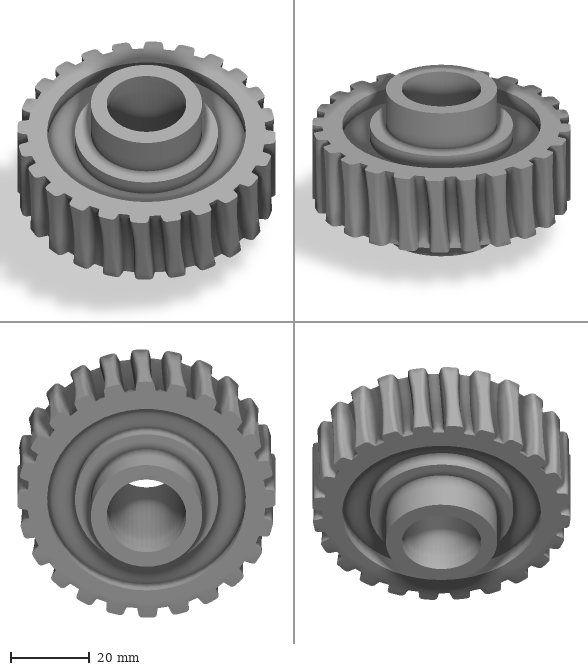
import cadquery as cq
import math

tip_diameter = 65.74
overall_height = 40.44
face_width = overall_height / 2
bore_diameter = 20.22
hub_diameter = 28.3

recess_inner_diameter = 36.4
recess_outer_diameter = 50.55
recess_depth = 4.0

tooth_count = 24
root_depth = 4.55
throat_radius = 27.0
gap_floor_width = 2.7
flank_angle = 18.0
lead_angle = 3.75
tip_fillet = 1.0
cutter_overrun = 3.0

tip_radius = tip_diameter / 2
worm_center_distance = tip_radius - root_depth + throat_radius


def make_blank():
    """Toothless wheel disc with its hub running through."""
    disc = cq.Workplane("XY").cylinder(face_width, tip_radius)
    hub = cq.Workplane("XY").cylinder(overall_height, hub_diameter / 2)
    return disc.union(hub)


def make_gap_cutter():
    """Ring of trapezoidal section around the worm axis, cutting the gap on the +X side."""
    profile_height = root_depth + cutter_overrun
    floor_x = tip_radius - root_depth
    floor_half = gap_floor_width / 2
    outer_half = floor_half + profile_height * math.tan(math.radians(flank_angle))
    ring = (
        cq.Workplane("XY")
        .polyline([
            (floor_x, -floor_half),
            (floor_x, floor_half),
            (floor_x + profile_height, outer_half),
            (floor_x + profile_height, -outer_half),
        ])
        .close()
        .revolve(360, (worm_center_distance, 0), (worm_center_distance, 1))
    )
    return ring.rotate((0, 0, 0), (1, 0, 0), lead_angle)


class TipFlankEdges(cq.Selector):
    """Selects the edges on the tip cylinder that run from one wheel face to the other."""

    def filter(self, edges):
        return [edge for edge in edges if self.is_tip_flank_edge(edge)]

    def is_tip_flank_edge(self, edge):
        tolerance = 0.01
        point = edge.positionAt(0.5)
        on_tip = abs(math.hypot(point.x, point.y) - tip_radius) < tolerance
        on_face = abs(abs(point.z) - face_width / 2) < tolerance
        return on_tip and not on_face


def cut_teeth(body):
    """Cut the gaps around the rim and round the long edges of the tooth tips."""
    cutter = make_gap_cutter()
    for index in range(tooth_count):
        angle = index * 360 / tooth_count
        body = body.cut(cutter.rotate((0, 0, 0), (0, 0, 1), angle))
    return body.edges(TipFlankEdges()).fillet(tip_fillet)


def cut_recesses(body):
    """Sink a ring-shaped recess into both wheel faces."""
    ring = (
        cq.Workplane("XY")
        .workplane(offset=face_width / 2 - recess_depth)
        .circle(recess_outer_diameter / 2)
        .circle(recess_inner_diameter / 2)
        .extrude(recess_depth)
    )
    return body.cut(ring).cut(ring.mirror("XY"))


def cut_bore(body):
    """Bore the hub right through."""
    return body.cut(cq.Workplane("XY").cylinder(overall_height, bore_diameter / 2))


result = cut_bore(cut_recesses(cut_teeth(make_blank())))